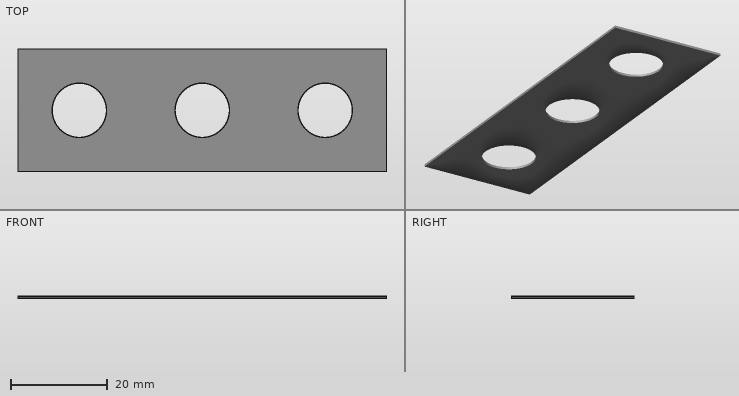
import cadquery as cq

cell_size = 25.4
cell_count = 3
thickness = 0.5
hole_diameter = 11.18

strip_length = cell_count * cell_size


def make_strip():
    """Flat rectangular strip centred on the origin."""
    return cq.Workplane("XY").box(strip_length, cell_size, thickness)


def drill_cell_holes(strip):
    """Cut one through hole at the centre of every cell."""
    return strip.faces(">Z").workplane().rarray(cell_size, cell_size, cell_count, 1).hole(hole_diameter)


result = drill_cell_holes(make_strip())